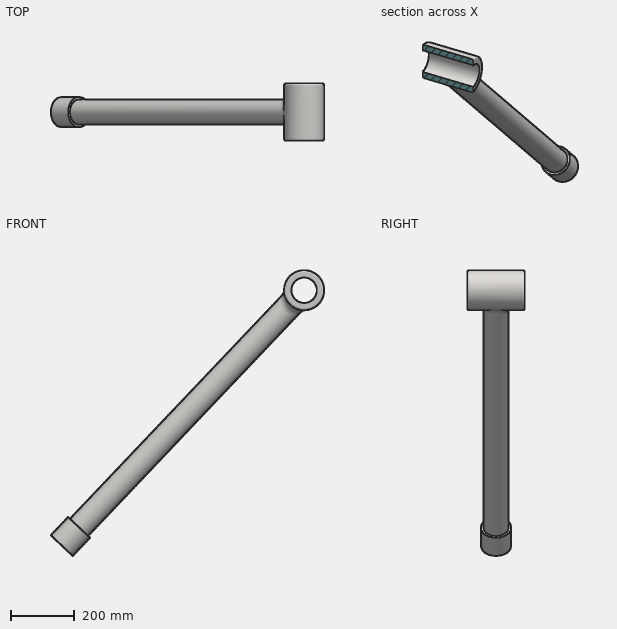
import cadquery as cq

HEAD_DIAMETER = 127.0
HEAD_LENGTH = 182.0
HEAD_EDGE_RADIUS = 7.0
BORE_DIAMETER = 79.0

ARM_ANGLE = 46.5
ARM_REACH = 1109.0
ARM_DIAMETER = 79.0
ARM_ROOT_FILLET = 24.0

COLLAR_DIAMETER = 95.5
COLLAR_LENGTH = 79.0


def arm_plane(distance):
    """Plane across the arm at a distance from the head axis, facing the free end."""
    start = cq.Plane(origin=(0, 0, 0), xDir=(0, 1, 0), normal=(-1, 0, 0))
    turned = start.rotated((-ARM_ANGLE, 0, 0))
    turned.origin = turned.zDir * distance
    return turned


def head_cylinder(diameter):
    """Cylinder along Y, as long as the head."""
    end_face = cq.Workplane("XZ", origin=(0, HEAD_LENGTH / 2, 0))
    return end_face.circle(diameter / 2).extrude(HEAD_LENGTH)


def head_with_arm():
    """Solid head with rounded ends, blended into the arm by a root fillet."""
    head = head_cylinder(HEAD_DIAMETER).faces("<Y or >Y").edges().fillet(HEAD_EDGE_RADIUS)
    arm = cq.Workplane(arm_plane(0)).circle(ARM_DIAMETER / 2).extrude(ARM_REACH)
    joined = head.union(arm)

    outer_corner = (-HEAD_DIAMETER, -ARM_DIAMETER, -HEAD_DIAMETER)
    inner_corner = (0, ARM_DIAMETER, 0)
    joint = cq.selectors.BoxSelector(outer_corner, inner_corner)
    return joined.edges(joint).fillet(ARM_ROOT_FILLET)


def collar():
    """Wider cylinder that finishes the free end of the arm."""
    start = arm_plane(ARM_REACH - COLLAR_LENGTH)
    return cq.Workplane(start).circle(COLLAR_DIAMETER / 2).extrude(COLLAR_LENGTH)


result = head_with_arm().union(collar()).cut(head_cylinder(BORE_DIAMETER))